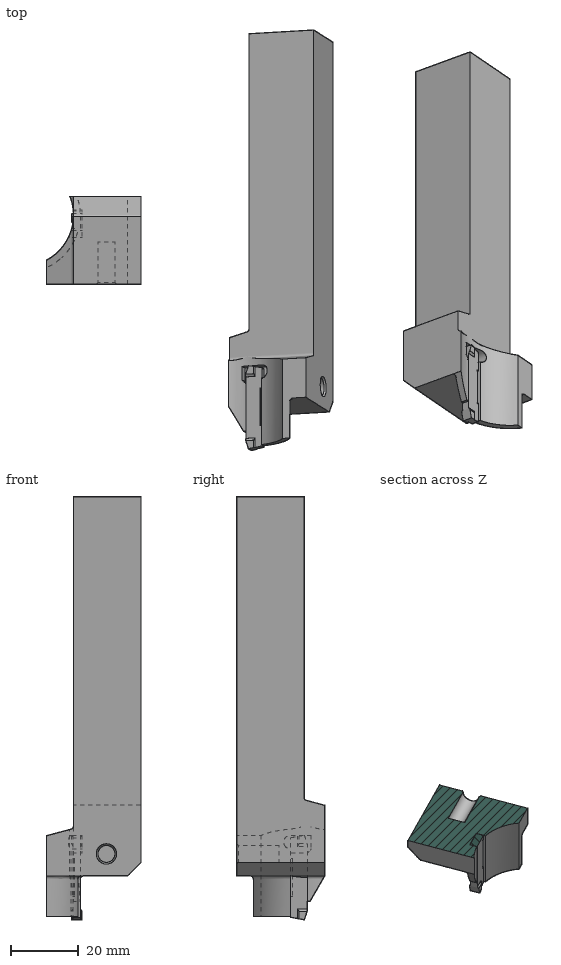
import cadquery as cq
import math


total_height = 125.0
shank_size = 20.0
head_left = -8.0
head_depth = 26.0
head_bottom = 13.0
corner_cut = 4.0
slope = math.tan(math.radians(15))
left_shoulder_height = 24.9
left_shoulder_fillet = 1.0
back_shoulder_height = 33.9
back_shoulder_fillet = 0.6

blade_radius = 15.0
blade_thickness = 2.0
blade_center = (-blade_radius, 20.4)
blade_bottom = 1.0
blade_fillet = 1.0
jaw_bottom = 5.5
jaw_angle = math.radians(30)

screw_x = 9.7
screw_z = 19.5
screw_diameter = 5.0
screw_depth = 12.5
screw_chamfer = 0.5

insert_length = 25.0
insert_front = 15.9
insert_back = 20.9
edge_y = 20.0
rake_length = 2.7
end_relief = 0.7
insert_middle_x = 1.0
body_width = 2.2
tip_width = 3.0
tip_length = 3.2
tip_front = 18.0
tip_flare_length = 0.7
notch_depth = 0.5
notch_height = 0.6
notch_length = 11.2

recess_back = 22.0
recess_step = recess_back - insert_back
recess_side_bottom = 20.9
relief_radius = 2.0

body_right = insert_middle_x + body_width / 2
tip_right = insert_middle_x + tip_width / 2


def prism_along_x(points, x_start, x_end):
    """A prism with a (Y, Z) outline, from x_start to x_end."""
    return cq.Workplane("YZ").workplane(offset=x_start).polyline(points).close().extrude(x_end - x_start)


def box(x_range, y_range, z_range):
    """A box between the two given limits on each axis."""
    sizes = [end - start for start, end in (x_range, y_range, z_range)]
    corner = (x_range[0], y_range[0], z_range[0])
    return cq.Workplane("XY").box(*sizes, centered=False).translate(corner)


def make_head_and_shank():
    """The square shank on a head with two sloping shoulders."""
    left_shoulder_top = left_shoulder_height - slope * head_left
    front_outline = [
        (head_left, head_bottom),
        (shank_size - corner_cut, head_bottom),
        (shank_size, head_bottom + corner_cut),
        (shank_size, total_height),
        (0, total_height),
        (0, left_shoulder_top),
        (head_left, left_shoulder_height),
    ]
    front_shape = cq.Workplane("XZ").polyline(front_outline).close().extrude(-head_depth)
    left_corner = cq.selectors.NearestToPointSelector((0, head_depth / 2, left_shoulder_top))
    front_shape = front_shape.edges("|Y").edges(left_corner).fillet(left_shoulder_fillet)

    back_shoulder_top = back_shoulder_height + slope * (head_depth - shank_size)
    side_outline = [
        (0, head_bottom),
        (head_depth, head_bottom),
        (head_depth, back_shoulder_height),
        (shank_size, back_shoulder_top),
        (shank_size, total_height),
        (0, total_height),
    ]
    side_shape = prism_along_x(side_outline, head_left, shank_size)
    side_middle = (head_left + shank_size) / 2
    back_corner = cq.selectors.NearestToPointSelector((side_middle, shank_size, back_shoulder_top))
    side_shape = side_shape.edges("|X").edges(back_corner).fillet(back_shoulder_fillet)
    return front_shape.intersect(side_shape)


def make_blade():
    """The curved blade below the head, flared at its root and cut off at a slant under the jaw."""
    outer_radius = blade_radius + blade_thickness
    root_radius = outer_radius + blade_fillet
    root_arc_side = blade_fillet * (1 - math.sqrt(0.5))
    section = (
        cq.Workplane("XZ", origin=(*blade_center, 0))
        .moveTo(0, blade_bottom)
        .lineTo(outer_radius, blade_bottom)
        .lineTo(outer_radius, head_bottom - blade_fillet)
        .threePointArc(
            (outer_radius + root_arc_side, head_bottom - root_arc_side),
            (root_radius, head_bottom),
        )
        .lineTo(0, head_bottom)
        .close()
    )
    blade = section.revolve(360, (0, 0, 0), (0, 1, 0))
    jaw_end = head_depth - (head_bottom - jaw_bottom) * math.tan(jaw_angle)
    side_outline = [
        (0, blade_bottom),
        (insert_back, blade_bottom),
        (insert_back, jaw_bottom),
        (jaw_end, jaw_bottom),
        (head_depth, head_bottom),
        (0, head_bottom),
    ]
    return blade.intersect(prism_along_x(side_outline, head_left, shank_size))


def make_hollow():
    """The space inside the blade's curve, which runs up through the left shoulder."""
    return cq.Workplane("XY", origin=(*blade_center, 0)).circle(blade_radius).extrude(back_shoulder_height)


def make_insert_seat():
    """The slot that holds the insert, and the recess with a relief corner at its upper end."""
    slot = box((head_left, body_right), (insert_front, insert_back), (0, insert_length))
    recess_outline = [
        (insert_front, insert_length),
        (recess_back, insert_length),
        (recess_back, recess_side_bottom),
        (insert_back, recess_side_bottom - recess_step),
        (insert_front, recess_side_bottom - recess_step),
    ]
    recess = prism_along_x(recess_outline, head_left, tip_right)
    relief = (
        cq.Workplane("YZ", origin=(head_left, insert_front, insert_length - relief_radius))
        .circle(relief_radius)
        .extrude(tip_right - head_left)
    )
    return slot.union(recess).union(relief)


def make_screw_hole():
    """A blind hole along Y with a chamfered mouth."""
    radius = screw_diameter / 2
    outline = [
        (0, 0),
        (radius + screw_chamfer, 0),
        (radius, screw_chamfer),
        (radius, screw_depth),
        (0, screw_depth),
    ]
    hole = cq.Workplane("XY").polyline(outline).close().revolve(360, (0, 0, 0), (0, 1, 0))
    return hole.translate((screw_x, 0, screw_z))


def make_holder():
    """The head, shank and blade in one piece, with the hollow, seat and screw hole cut out."""
    holder = make_head_and_shank().union(make_blade())
    return holder.cut(make_hollow()).cut(make_insert_seat()).cut(make_screw_hole())


def make_tip_envelope():
    """The limits of the lower tip, which flares out from the width of the body."""
    half_body = body_width / 2
    half_tip = tip_width / 2
    outline = [
        (-half_tip, 0),
        (half_tip, 0),
        (half_tip, tip_length - tip_flare_length),
        (half_body, tip_length),
        (-half_body, tip_length),
        (-half_tip, tip_length - tip_flare_length),
    ]
    envelope = (
        cq.Workplane("XZ", origin=(insert_middle_x, tip_front, 0))
        .polyline(outline)
        .close()
        .extrude(tip_front - insert_back)
    )
    return envelope.faces("<Y").edges("|Z").chamfer(half_tip - half_body)


def make_insert():
    """A bar with a raked cutting edge at each end; the tips are wider than the body."""
    outline = [
        (insert_front, end_relief),
        (edge_y, 0),
        (insert_back, rake_length),
        (insert_back, insert_length - rake_length),
        (edge_y, insert_length),
        (insert_front, insert_length - end_relief),
    ]
    body_left = insert_middle_x - body_width / 2
    insert = prism_along_x(outline, body_left, body_right)
    wide_bar = prism_along_x(outline, insert_middle_x - tip_width / 2, tip_right)
    lower_tip = wide_bar.intersect(make_tip_envelope())
    upper_tip = lower_tip.mirror("XY", (0, 0, insert_length / 2))
    insert = insert.union(lower_tip).union(upper_tip)

    notch_start = (insert_length - notch_length) / 2
    notch = box(
        (body_left, body_left + notch_depth),
        (insert_front, insert_front + notch_height),
        (notch_start, notch_start + notch_length),
    )
    return insert.cut(notch)


holder = make_holder()
insert = make_insert()
result = cq.Compound.makeCompound([holder.solids().val(), insert.solids().val()])